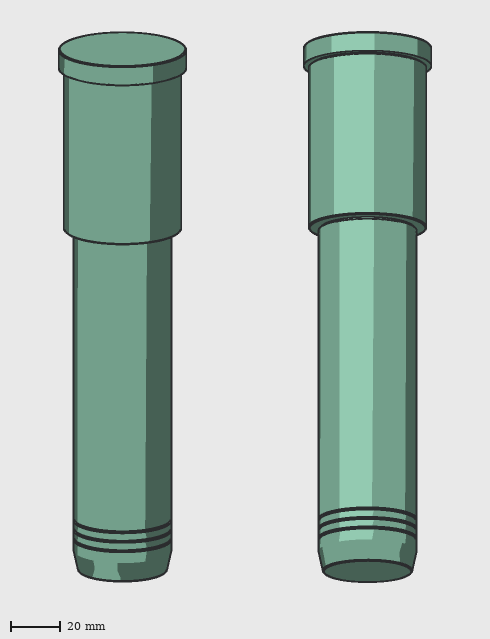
import cadquery as cq

total_height = 220.0

head_diameter = 52.0
head_height = 8.0
head_chamfer = 0.5

shoulder_diameter = 48.0
shoulder_end_depth = 76.0
shoulder_chamfer = 0.5

head_relief_diameter = 46.0
head_relief_width = 0.75
neck_diameter = 38.0
neck_width = 1.0

shaft_diameter = 40.0

groove_count = 3
groove_pitch = 4.0
groove_depth = 0.5
groove_width = 1.0
lowest_groove_height = 13.5

lead_height = 8.5
tip_diameter = 36.5
tip_chamfer = 0.5


def cylinder(diameter, bottom, top):
    """Solid cylinder on the Z axis between two heights."""
    return cq.Workplane("XY").workplane(offset=bottom).circle(diameter / 2).extrude(top - bottom)


def ring(outer_diameter, inner_diameter, bottom, height):
    """Flat ring on the Z axis, used to cut a relief neck."""
    return (
        cq.Workplane("XY")
        .workplane(offset=bottom)
        .circle(outer_diameter / 2)
        .circle(inner_diameter / 2)
        .extrude(height)
    )


def make_head():
    head = cylinder(head_diameter, total_height - head_height, total_height)
    return head.faces(">Z").edges().chamfer(head_chamfer)


def make_shoulder():
    bottom = total_height - shoulder_end_depth
    top = total_height - head_height
    shoulder = cylinder(shoulder_diameter, bottom, top)
    shoulder = shoulder.faces("<Z").edges().chamfer(shoulder_chamfer)
    relief = ring(shoulder_diameter, head_relief_diameter, top - head_relief_width, head_relief_width)
    return shoulder.cut(relief)


def make_shaft():
    neck_top = total_height - shoulder_end_depth
    neck_bottom = neck_top - neck_width
    shaft = cylinder(shaft_diameter, lead_height, neck_bottom)
    neck = cylinder(neck_diameter, neck_bottom, neck_top)
    return shaft.union(neck)


def make_lead_in():
    """Cone narrowing from the shaft to the chamfered tip."""
    shaft_radius = shaft_diameter / 2
    tip_radius = tip_diameter / 2
    return (
        cq.Workplane("XZ")
        .lineTo(tip_radius - tip_chamfer, 0)
        .lineTo(tip_radius, tip_chamfer)
        .lineTo(shaft_radius, lead_height)
        .lineTo(0, lead_height)
        .close()
        .revolve(360, (0, 0, 0), (0, 1, 0))
    )


def cut_grooves(body):
    """Grooves of V-shaped section around the shaft."""
    shaft_radius = shaft_diameter / 2
    for index in range(groove_count):
        height = lowest_groove_height + index * groove_pitch
        groove = (
            cq.Workplane("XZ")
            .moveTo(shaft_radius, height - groove_width / 2)
            .lineTo(shaft_radius - groove_depth, height)
            .lineTo(shaft_radius, height + groove_width / 2)
            .close()
            .revolve(360, (0, 0, 0), (0, 1, 0))
        )
        body = body.cut(groove)
    return body


pin = make_head().union(make_shoulder()).union(make_shaft()).union(make_lead_in())
result = cut_grooves(pin)